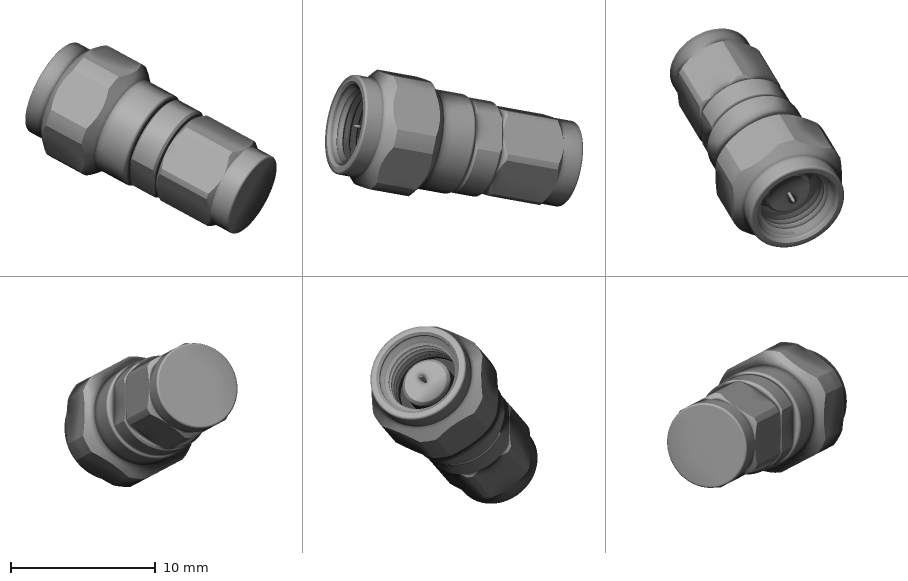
import cadquery as cq
import math

LENGTH = 16.71

NUT_RADIUS = 3.5
NUT_FLATS = 8.0
NUT_CORNER_RADIUS = 4.303
NUT_HEX_START = 1.34
NUT_HEX_END = 5.9
NUT_END = 8.37
NUT_FRONT_ROUND = 0.17
NUT_REAR_ROUND = 0.2

FRONT_NECK_RADIUS = 2.4
REAR_NECK_RADIUS = 2.15

SMALL_FLATS = 6.0
SMALL_RADIUS = SMALL_FLATS / 2
SMALL_CORNER_RADIUS = 3.35
COLLAR_START = 8.52
COLLAR_END = 10.53
COLLAR_CHAMFER = 0.15
SMALL_HEX_START = 10.65
SMALL_HEX_END = 15.19
SMALL_END_ROUND = 0.15

MOUTH_RADIUS = 2.85
MOUTH_DEPTH = 0.33
MOUTH_CHAMFER = 0.17
COUNTERSINK_TIP_RADIUS = 2.19
BORE_RADIUS = 2.4
SOCKET_DEPTH = 3.35
THREAD_ROOT_RADIUS = 2.74
THREAD_START = 0.5
THREAD_PITCH = 0.5
THREAD_TURNS = 5
THREAD_HALF_WIDTH = 0.225
THREAD_OVERLAP = 0.02

BOSS_RADIUS = 1.74
BOSS_CHAMFER = 0.22
BOSS_FACE = 1.67
PIN_RADIUS = 0.12
PIN_TIP_RADIUS = 0.07
PIN_TIP_LENGTH = 0.2
PIN_START = 0.69


def turned(points):
    """Revolve an (x, radius) outline about the X axis."""
    return cq.Workplane("XY").polyline(points).close().revolve(360, (0, 0, 0), (1, 0, 0))


def cylinder(start, end, radius):
    return cq.Workplane("YZ", origin=(start, 0, 0)).circle(radius).extrude(end - start)


def turned_hexagon(start, end, flats, end_radius, corner_radius):
    """Hexagon with flats on +Y and -Y, its corners turned round and coned at 45 degrees."""
    cone = corner_radius - end_radius
    blank = turned([
        (start, 0),
        (start, end_radius),
        (start + cone, corner_radius),
        (end - cone, corner_radius),
        (end, end_radius),
        (end, 0),
    ])
    corner_diameter = flats / math.cos(math.pi / 6)
    prism = (
        cq.Workplane("YZ", origin=(start, 0, 0))
        .transformed(rotate=(0, 0, 90))
        .polygon(6, corner_diameter)
        .extrude(end - start)
    )
    return blank.intersect(prism)


def large_nut():
    barrel = cylinder(0, NUT_END, NUT_RADIUS)
    barrel = barrel.faces("<X").edges().fillet(NUT_FRONT_ROUND)
    barrel = barrel.faces(">X").edges().fillet(NUT_REAR_ROUND)
    hexagon = turned_hexagon(NUT_HEX_START, NUT_HEX_END, NUT_FLATS, NUT_RADIUS, NUT_CORNER_RADIUS)
    return barrel.union(hexagon)


def threaded_bore():
    return cylinder(0, SOCKET_DEPTH, BORE_RADIUS).union(thread_groove(), clean=False)


def mouth():
    """Chamfered straight mouth, then a 45 degree countersink tapering to inside the bore."""
    countersink_end = MOUTH_DEPTH + MOUTH_RADIUS - COUNTERSINK_TIP_RADIUS
    return turned([
        (0, 0),
        (0, MOUTH_RADIUS + MOUTH_CHAMFER),
        (MOUTH_CHAMFER, MOUTH_RADIUS),
        (MOUTH_DEPTH, MOUTH_RADIUS),
        (countersink_end, COUNTERSINK_TIP_RADIUS),
        (countersink_end, 0),
    ])


def thread_groove():
    """Right-hand V groove that starts at the bottom (-Z) of the countersink."""
    path = cq.Wire.makeHelix(THREAD_PITCH, THREAD_PITCH * THREAD_TURNS, BORE_RADIUS)
    inner_radius = BORE_RADIUS - THREAD_OVERLAP
    slope = THREAD_HALF_WIDTH / (THREAD_ROOT_RADIUS - BORE_RADIUS)
    inner_half_width = slope * (THREAD_ROOT_RADIUS - inner_radius)
    groove = (
        cq.Workplane("XZ")
        .polyline([
            (inner_radius, -inner_half_width),
            (THREAD_ROOT_RADIUS, 0),
            (inner_radius, inner_half_width),
        ])
        .close()
        .sweep(cq.Workplane(obj=path), isFrenet=True)
    )
    return groove.rotate((0, 0, 0), (0, 1, 0), 90).translate((THREAD_START, 0, 0))


def contact():
    boss = cylinder(BOSS_FACE, SOCKET_DEPTH, BOSS_RADIUS).faces("<X").chamfer(BOSS_CHAMFER)
    pin = turned([
        (PIN_START, 0),
        (PIN_START, PIN_TIP_RADIUS),
        (PIN_START + PIN_TIP_LENGTH, PIN_RADIUS),
        (SOCKET_DEPTH, PIN_RADIUS),
        (SOCKET_DEPTH, 0),
    ])
    return boss.union(pin)


def collar():
    """Round collar with two spanner flats on +Y and -Y."""
    ring = cylinder(COLLAR_START, COLLAR_END, SMALL_CORNER_RADIUS)
    ring = ring.faces("<X or >X").edges().chamfer(COLLAR_CHAMFER)
    flats = cq.Workplane("XY").box(2 * LENGTH, SMALL_FLATS, LENGTH)
    return ring.intersect(flats)


def small_nut():
    hexagon = turned_hexagon(
        SMALL_HEX_START, SMALL_HEX_END, SMALL_FLATS, SMALL_RADIUS, SMALL_CORNER_RADIUS
    )
    barrel = cylinder(SMALL_HEX_END, LENGTH, SMALL_RADIUS)
    barrel = barrel.faces(">X").edges().fillet(SMALL_END_ROUND)
    return hexagon.union(barrel)


front_neck = cylinder(NUT_END, COLLAR_START, FRONT_NECK_RADIUS)
rear_neck = cylinder(COLLAR_END, SMALL_HEX_START, REAR_NECK_RADIUS)

result = (
    large_nut()
    .cut(threaded_bore(), clean=False)
    .cut(mouth(), clean=False)
    .union(contact())
    .union(front_neck)
    .union(collar())
    .union(rear_neck)
    .union(small_nut())
)